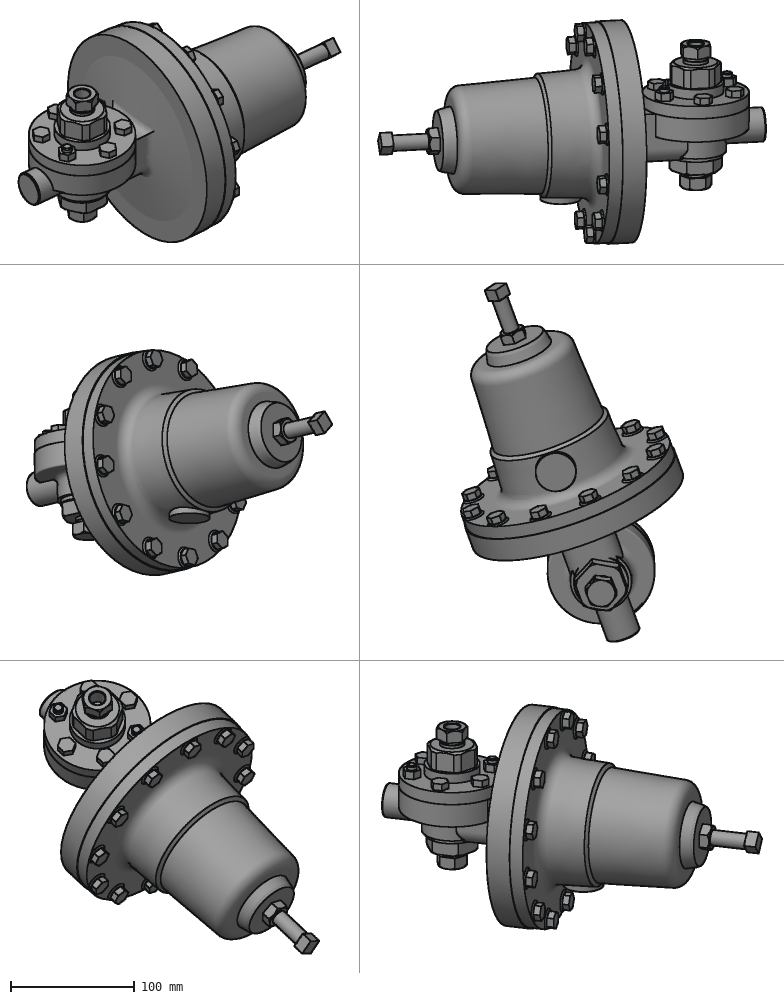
import cadquery as cq
import math


outlet_end = -55.5
case_face = 57.0
flange_joint = 76.7
flange_back = 87.8
skirt_foot = 97.2
skirt_shoulder = 128.0
bell_base = 130.5
bell_top = 201.5
neck_rim = 209.5
neck_top = 212.5
locknut_top = 221
screw_head_base = 250.5
overall_length = 315.7
screw_end = outlet_end + overall_length

case_radius = 181.0 / 2
bonnet_flange_radius = 89.7
cone_base_radius = 72.0
cone_tip_radius = 15.8
cone_height = 6.5
skirt_base_radius = 52.0
skirt_top_radius = 50.5
skirt_fillet = skirt_foot - flange_back
bell_base_radius = 47.5
bell_top_radius = 44.2
bell_round = 8.8
neck_base_radius = 27.5
neck_rim_radius = 25.5
neck_top_radius = 24.3

vent_y = 111.5
vent_radius = 16.5
vent_face = -54.0

screw_radius = 13.0 / 2
screw_head_diagonal = 18.5
locknut_corner_radius = 11.0

case_bolt_count = 12
case_bolt_circle_radius = 81.8
case_bolt_head_height = 7.0
case_bolt_flare_width = 1.5
case_bolt_flare_height = 1.3
case_bolt_rim_gap = 0.3
case_bolt_trim_radius = bonnet_flange_radius - case_bolt_rim_gap

bolt_corner_radius = 14.8 / 2

fitting_top = 71.0
fitting_base = 61.0
bonnet_nut_top = 55.5
cover_boss_top = 38.5
cover_top = 30.3
cover_joint = 20.0
body_base = 0.0
stem_body_base = -19.3
plug_top = -22.7
plug_base = -34.5
drain_top = -39.5
drain_base = -49.5

body_radius = 86.8 / 2
cover_radius = 43.3
body_edge_round = 1.3
stem_body_radius = 49.5 / 2
stem_body_tip_radius = 22
stem_body_fillet = 5.7
cover_boss_radius = 45.0 / 2
outlet_radius = 28.0 / 2
outlet_chamfer = 1.0

bonnet_nut_flats = 38.2
bonnet_nut_turned_radius = 20.5
bonnet_nut_bevel_width = 2.8
plug_corner_radius = 21.8
fitting_corner_radius = 13.0
fitting_turn = 2.5
collar_radius = 10.0
collar_height = 2.5
stem_radius = 9.0
fitting_bore_radius = 6.3
fitting_bore_chamfer = 0.5
hex_bevel = 1.5

cover_bolt_count = 6
cover_bolt_circle_radius = 33.5
cover_bolt_head_height = 5.7
cover_nut_height = 6.5
stud_height = 10.5
stud_radius = 4.0
stud_bevel = 1.0
stud_angles = (120, 300)

bridge_half_width = 22.5
bridge_base = -23.5
bridge_round = 13.3
bridge_fillet = 6.0


def disc(radius, start, end):
    """Cylinder on the Z axis between two heights."""
    return cq.Workplane("XY").workplane(offset=start).circle(radius).extrude(end - start)


def hexagon(corner_radius, start, end, corner_angle=0.0):
    """Plain hexagonal prism on the Z axis."""
    prism = cq.Workplane("XY").workplane(offset=start).polygon(6, 2 * corner_radius).extrude(end - start)
    return prism.rotate((0, 0, 0), (0, 0, 1), corner_angle)


def bevelled_hexagon(corner_radius, start, end, corner_angle, bevel_start=False, bevel_end=False):
    """Hexagonal prism whose chosen ends have turned-down corners."""
    cutter = disc(corner_radius, start, end)
    if bevel_start:
        cutter = cutter.faces("<Z").chamfer(hex_bevel)
    if bevel_end:
        cutter = cutter.faces(">Z").chamfer(hex_bevel)
    return hexagon(corner_radius, start, end, corner_angle).intersect(cutter)


def onto_y(shape):
    """Turn a shape built on the Z axis so that its +Z points to +Y."""
    return shape.rotate((0, 0, 0), (1, 0, 0), -90)


def join(body, parts):
    for part in parts:
        body = body.union(part)
    return body


def case_and_bonnet():
    """Diaphragm case with its cone, flange and the bell-shaped spring bonnet."""
    profile = (
        cq.Workplane("XY")
        .moveTo(0, case_face - cone_height)
        .lineTo(cone_tip_radius, case_face - cone_height)
        .lineTo(cone_base_radius, case_face)
        .lineTo(case_radius, case_face)
        .lineTo(case_radius, flange_joint)
        .lineTo(bonnet_flange_radius, flange_joint)
        .lineTo(bonnet_flange_radius, flange_back)
        .lineTo(skirt_base_radius + skirt_fillet, flange_back)
        .radiusArc((skirt_base_radius, skirt_foot), skirt_fillet)
        .lineTo(skirt_top_radius, skirt_shoulder)
        .lineTo(bell_base_radius, bell_base)
        .lineTo(bell_top_radius, bell_top - bell_round)
        .tangentArcPoint((bell_top_radius - bell_round, bell_top), relative=False)
        .lineTo(neck_base_radius, bell_top)
        .lineTo(neck_rim_radius, neck_rim)
        .lineTo(neck_top_radius, neck_top)
        .lineTo(0, neck_top)
        .close()
    )
    return profile.revolve(360, (0, 0, 0), (0, 1, 0))


def vent_boss():
    return disc(vent_radius, vent_face, 0).translate((0, vent_y, 0))


def adjusting_screw():
    """Square-headed screw with its hexagonal locknut."""
    shank = disc(screw_radius, neck_top, screw_end)
    head = (
        cq.Workplane("XY")
        .workplane(offset=screw_head_base)
        .polygon(4, screw_head_diagonal)
        .extrude(screw_end - screw_head_base)
    )
    locknut = bevelled_hexagon(locknut_corner_radius, neck_top, locknut_top, 90, bevel_end=True)
    return onto_y(shank.union(head).union(locknut))


def case_bolts():
    """Hexagon heads around the bonnet flange, each on a flared foot trimmed just inside its rim."""
    step = 360 / case_bolt_count
    head = hexagon(bolt_corner_radius, flange_back, flange_back + case_bolt_head_height, step / 2)
    cone = cq.Solid.makeCone(
        bolt_corner_radius + case_bolt_flare_width, bolt_corner_radius, case_bolt_flare_height
    )
    foot = cq.Workplane("XY").add(cone.translate(cq.Vector(0, 0, flange_back)))
    bolt = head.union(foot).translate((case_bolt_circle_radius, 0, 0))
    bolt = bolt.intersect(disc(case_bolt_trim_radius, flange_back, flange_back + case_bolt_head_height))
    bolts = []
    for index in range(case_bolt_count):
        bolts.append(onto_y(bolt.rotate((0, 0, 0), (0, 0, 1), (index + 0.5) * step)))
    return bolts


def bridge():
    """Arm from the valve body to the case, rounded along its lower edges."""
    arm = cq.Workplane("XY").box(
        2 * bridge_half_width, flange_joint, cover_joint - bridge_base, centered=(True, False, False)
    )
    return arm.translate((0, 0, bridge_base)).edges("|Y and <Z").fillet(bridge_round)


def valve_body():
    """Round body with the narrower part that hangs below it."""
    blend_radius = stem_body_radius + stem_body_fillet
    profile = (
        cq.Workplane("XZ")
        .moveTo(0, cover_joint)
        .lineTo(body_radius, cover_joint)
        .lineTo(body_radius, body_base + body_edge_round)
        .tangentArcPoint((body_radius - body_edge_round, body_base), relative=False)
        .lineTo(blend_radius, body_base)
        .tangentArcPoint((stem_body_radius, body_base - stem_body_fillet), relative=False)
        .lineTo(stem_body_radius, stem_body_base)
        .lineTo(stem_body_tip_radius, stem_body_base)
        .lineTo(stem_body_tip_radius, plug_top)
        .lineTo(0, plug_top)
        .close()
    )
    return profile.revolve(360, (0, 0, 0), (0, 1, 0))


def outlet():
    pipe = disc(outlet_radius, outlet_end, 0).faces("<Z").chamfer(outlet_chamfer)
    return onto_y(pipe)


def cover_bolts():
    """Hexagon heads on the cover, two of them nuts with a protruding stud."""
    bolts = []
    for index in range(cover_bolt_count):
        angle = index * 360 / cover_bolt_count
        if angle in stud_angles:
            bolt = hexagon(bolt_corner_radius, cover_top, cover_top + cover_nut_height, 90)
            stud = disc(stud_radius, cover_top, cover_top + stud_height)
            bolt = bolt.union(stud.faces(">Z").chamfer(stud_bevel))
        else:
            bolt = hexagon(bolt_corner_radius, cover_top, cover_top + cover_bolt_head_height, 90)
        x = cover_bolt_circle_radius * math.cos(math.radians(angle))
        y = cover_bolt_circle_radius * math.sin(math.radians(angle))
        bolts.append(bolt.translate((x, y, 0)))
    return bolts


def upper_stack():
    """Cover, bonnet nut and the bored fitting on top."""
    cover = disc(cover_radius, cover_joint, cover_top)
    boss = disc(cover_boss_radius, cover_top, cover_boss_top)
    nut_corner_radius = bonnet_nut_flats / 2 / math.cos(math.radians(30))
    turned = disc(bonnet_nut_turned_radius, cover_boss_top, bonnet_nut_top)
    turned = turned.edges(">Z").chamfer(hex_bevel, bonnet_nut_bevel_width)
    nut = hexagon(nut_corner_radius, cover_boss_top, bonnet_nut_top, 90).intersect(turned)
    collar = disc(collar_radius, bonnet_nut_top, bonnet_nut_top + collar_height)
    stem = disc(stem_radius, bonnet_nut_top, fitting_base)
    fitting = bevelled_hexagon(
        fitting_corner_radius, fitting_base, fitting_top, -fitting_turn, bevel_end=True
    )
    stack = join(cover, [boss, nut, collar, stem, fitting])
    stack = stack.cut(disc(fitting_bore_radius, bonnet_nut_top, fitting_top))
    bore_mouth = stack.faces(">Z").edges("%CIRCLE").edges(cq.selectors.RadiusNthSelector(0))
    return bore_mouth.chamfer(fitting_bore_chamfer)


def lower_stack():
    """Bottom plug and the fitting below it."""
    plug = bevelled_hexagon(plug_corner_radius, plug_base, plug_top, 90, bevel_start=True)
    collar = disc(collar_radius, plug_base - collar_height, plug_base)
    stem = disc(stem_radius, drain_top, plug_base)
    fitting = bevelled_hexagon(
        fitting_corner_radius, drain_base, drain_top, 90 - fitting_turn, bevel_start=True
    )
    return join(plug, [collar, stem, fitting])


def case_with_bridge():
    """Case joined to the bridge, with the seam on the case cone filleted."""
    joined = case_and_bonnet().union(bridge())
    margin = 3
    blend_zone = cq.selectors.BoxSelector(
        (-bridge_half_width - margin, case_face - cone_height, bridge_base - margin),
        (bridge_half_width + margin, case_face, cover_joint + margin),
    )
    return joined.edges(blend_zone).fillet(bridge_fillet)


valve = join(upper_stack(), cover_bolts())
valve = join(valve, [valve_body(), outlet(), lower_stack()])

spring_side = join(case_with_bridge(), [vent_boss(), adjusting_screw()])
spring_side = join(spring_side, case_bolts())

result = spring_side.union(valve)